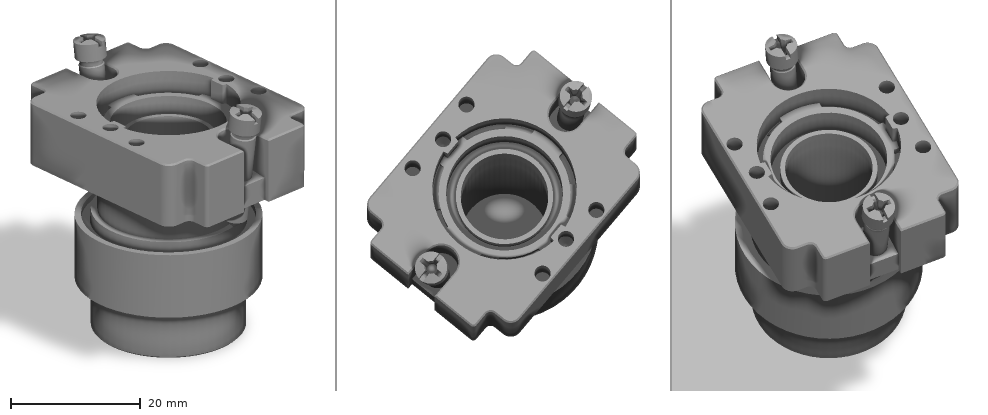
import cadquery as cq
import math


barrel_dia = 24.0
barrel_top = 20.0
barrel_edge_chamfer = 0.25
shoulder_dia = 22.0
shoulder_edge_chamfer = 0.2
neck_dia = 20.3
neck_bore_dia = 18.0
inner_tube_dia = 15.0
inner_bore_dia = 13.5
neck_top = 34.75
inner_tube_top = 32.4
groove_floor = 30.4
barrel_floor = 2.0
wide_lug_width = 6.75
narrow_lug_width = 5.55
taper_spans = [(0.0, 35.0), (90.0, 138.0), (180.0, 219.0), (270.0, 323.0)]

collar_dia = 29.0
collar_bore_dia = 24.25
collar_recess_dia = 27.0
collar_recess_depth = 1.0
collar_bottom = 8.0
collar_top = 19.0
collar_edge_chamfer = 0.25

housing_bottom = 27.3
housing_height = 10.7
housing_top = housing_bottom + housing_height
housing_length = 39.7
housing_width = 30.0
housing_offset_y = -0.2
middle_length = 32.0
ear_width = 21.0
middle_corner_radius = 1.8
inner_corner_radius = 1.0
ear_corner_radius = 0.6
housing_edge_chamfer = 0.25
bayonet_bore_dia = 22.25
bayonet_floor = 33.6
key_base_width = 2.9
key_tip_width = 2.55
key_inner_y = 10.3
dowel_dia = 2.5
dowel_spacing_x = 13.0
dowel_spacing_y = 26.0
dowel_depth = 5.0
drill_spacing = 24.6
drill_depth = 4.0
drill_point_angle = 118.0

screw_tilt = 7.5
tip_x = 14.79
tip_z = 22.05
shank_dia = 4.0
point_length = 1.9
shank_top = 17.0
shank_edge_chamfer = 0.15
screw_neck_dia = 3.65
screw_neck_length = 1.05
head_dia = 5.0
head_height = 2.83
dome_height = 0.35
head_bottom = shank_top + screw_neck_length
head_rim = head_bottom + head_height
drive_slot_width = 0.8
drive_slot_depth = 0.85
cross_depth = 2.3
cross_bottom_length = 1.5
cross_taper = 26.5
cross_core_dia = 1.6
cross_core_taper = 4.0

slot_width = 5.3
slot_centre_x = 15.05
bridge_outer_x = 18.9
bridge_outer_top = 31.1


def disc(diameter, bottom, top):
    return cq.Workplane("XY", origin=(0, 0, bottom)).circle(diameter / 2).extrude(top - bottom)


def block(x_range, y_range, z_range):
    size = [high - low for low, high in (x_range, y_range, z_range)]
    corner = (x_range[0], y_range[0], z_range[0])
    return cq.Workplane("XY").box(*size, centered=False).translate(corner)


def make_bayonet_lugs():
    reach = shoulder_dia
    half_wide = wide_lug_width / 2
    half_narrow = narrow_lug_width / 2
    heights = (bayonet_floor, neck_top)
    lugs = block((0, reach), (-half_wide, half_wide), heights)
    lugs = lugs.union(block((-half_wide, half_wide), (0, reach), heights))
    lugs = lugs.union(block((-reach, 0), (-half_narrow, half_narrow), heights))
    lugs = lugs.union(block((-half_narrow, half_narrow), (-reach, 0), heights))
    return lugs.intersect(disc(shoulder_dia, bayonet_floor, neck_top))


def make_taper_filler(start_angle, end_angle):
    """Sector of a cone that widens from the neck at its top to the lugs' reach at its foot."""
    sector = (
        cq.Workplane("XZ")
        .polyline(
            [
                (0, bayonet_floor),
                (shoulder_dia / 2, bayonet_floor),
                (neck_dia / 2, neck_top),
                (0, neck_top),
            ]
        )
        .close()
        .revolve(end_angle - start_angle, (0, 0, 0), (0, 1, 0))
    )
    return sector.rotate((0, 0, 0), (0, 0, 1), start_angle)


def make_barrel():
    body = disc(barrel_dia, 0, barrel_top).faces("<Z").edges().chamfer(barrel_edge_chamfer)
    shoulder = disc(shoulder_dia, barrel_top, housing_bottom)
    body = body.union(shoulder.faces(">Z").edges().chamfer(shoulder_edge_chamfer))
    body = body.union(disc(neck_dia, barrel_top, neck_top))
    body = body.union(make_bayonet_lugs())
    for start_angle, end_angle in taper_spans:
        body = body.union(make_taper_filler(start_angle, end_angle))
    body = body.cut(disc(neck_bore_dia, groove_floor, neck_top))
    body = body.union(disc(inner_tube_dia, groove_floor, inner_tube_top))
    return body.cut(disc(inner_bore_dia, barrel_floor, inner_tube_top))


def make_collar():
    ring = disc(collar_dia, collar_bottom, collar_top).faces("<Z").edges().chamfer(collar_edge_chamfer)
    ring = ring.cut(disc(collar_bore_dia, collar_bottom, collar_top))
    return ring.cut(disc(collar_recess_dia, collar_top - collar_recess_depth, collar_top))


def slot_cutter(side):
    reach = housing_length / 2
    half = slot_width / 2
    return (
        cq.Workplane("XY", origin=(0, housing_offset_y, housing_bottom))
        .moveTo(side * reach, -half)
        .lineTo(side * slot_centre_x, -half)
        .threePointArc((side * (slot_centre_x - half), 0), (side * slot_centre_x, half))
        .lineTo(side * reach, half)
        .close()
        .extrude(housing_height)
    )


def make_housing_blank():
    plane = cq.Workplane("XY", origin=(0, housing_offset_y, housing_bottom))
    ears = plane.rect(housing_length, ear_width).extrude(housing_height)
    ears = ears.edges("|Z").fillet(ear_corner_radius)
    middle = plane.rect(middle_length, housing_width).extrude(housing_height)
    middle = middle.edges("|Z").fillet(middle_corner_radius)
    blank = ears.union(middle)
    inner_corners = cq.selectors.BoxSelector(
        (-middle_length / 2 - 0.1, housing_offset_y - ear_width / 2 - 0.1, housing_bottom),
        (middle_length / 2 + 0.1, housing_offset_y + ear_width / 2 + 0.1, housing_top),
    )
    blank = blank.edges("|Z").edges(inner_corners).fillet(inner_corner_radius)
    for side in (-1, 1):
        blank = blank.cut(slot_cutter(side))
    return blank.faces(">Z").edges().chamfer(housing_edge_chamfer)


def make_bridge(side):
    rise = math.tan(math.radians(screw_tilt))
    inner_x = slot_centre_x - slot_width / 2
    inner_top = bridge_outer_top + rise * (bridge_outer_x - inner_x)
    wedge = (
        cq.Workplane("XZ", origin=(0, housing_offset_y, 0))
        .moveTo(side * bridge_outer_x, housing_bottom)
        .lineTo(side * bridge_outer_x, bridge_outer_top)
        .lineTo(side * inner_x, inner_top)
        .lineTo(side * inner_x, housing_bottom)
        .close()
        .extrude(slot_width / 2, both=True)
    )
    return wedge.intersect(slot_cutter(side))


def make_keys():
    """Two ribs tapering inwards from the bayonet bore, resting on the barrel's lugs."""
    half_base = key_base_width / 2
    half_tip = key_tip_width / 2
    outer = bayonet_bore_dia / 2
    key = (
        cq.Workplane("XY", origin=(0, 0, neck_top))
        .polyline([(-half_base, outer), (-half_tip, key_inner_y), (half_tip, key_inner_y), (half_base, outer)])
        .close()
        .extrude(housing_top - neck_top)
    )
    return key.union(key.mirror("XZ"))


def make_housing(screws):
    body = make_housing_blank()
    body = body.cut(disc(bayonet_bore_dia, bayonet_floor, housing_top))
    body = body.cut(disc(neck_dia, housing_bottom, bayonet_floor))
    body = body.union(make_keys())
    top = cq.Workplane("XY", origin=(0, 0, housing_top))
    dowels = top.rect(dowel_spacing_x, dowel_spacing_y, forConstruction=True).vertices()
    body = body.cut(dowels.circle(dowel_dia / 2).extrude(-dowel_depth))
    point = dowel_dia / 2 / math.tan(math.radians(drill_point_angle / 2))
    drill = (
        cq.Workplane("XZ")
        .polyline([(0, 0), (dowel_dia / 2, 0), (dowel_dia / 2, -drill_depth), (0, -drill_depth - point)])
        .close()
        .revolve(360, (0, 0, 0), (0, 1, 0))
    )
    for side in (-1, 1):
        body = body.cut(drill.translate((0, side * drill_spacing / 2, housing_top)))
        body = body.union(make_bridge(side))
    for screw in screws:
        body = body.cut(screw)
    return body


def make_cross_arm(along):
    """One arm of the cross recess: constant width, ends tapering inwards with depth."""
    bottom = head_rim - cross_depth
    depth = cross_depth + dome_height
    half_bottom = cross_bottom_length / 2
    half_top = half_bottom + depth * math.tan(math.radians(cross_taper))
    outline = [
        (-half_bottom, bottom),
        (half_bottom, bottom),
        (half_top, bottom + depth),
        (-half_top, bottom + depth),
    ]
    return cq.Workplane(along).polyline(outline).close().extrude(drive_slot_width / 2, both=True)


def make_screw(side):
    shank_r = shank_dia / 2
    head_r = head_dia / 2
    neck_r = screw_neck_dia / 2
    dome_radius = (head_r**2 + dome_height**2) / (2 * dome_height)
    dome_top = head_rim + dome_height
    dome_mid_x = head_r / 2
    dome_mid_z = dome_top - dome_radius + math.sqrt(dome_radius**2 - dome_mid_x**2)
    screw = (
        cq.Workplane("XZ")
        .moveTo(0, 0)
        .lineTo(shank_r, point_length)
        .lineTo(shank_r, shank_top - shank_edge_chamfer)
        .lineTo(shank_r - shank_edge_chamfer, shank_top)
        .lineTo(neck_r, shank_top)
        .lineTo(neck_r, head_bottom)
        .lineTo(head_r, head_bottom)
        .lineTo(head_r, head_rim)
        .threePointArc((dome_mid_x, dome_mid_z), (0, dome_top))
        .close()
        .revolve(360, (0, 0, 0), (0, 1, 0))
    )
    slot_floor = head_rim - drive_slot_depth
    half_slot = drive_slot_width / 2
    screw = screw.cut(block((-head_r, head_r), (-half_slot, half_slot), (slot_floor, dome_top)))
    screw = screw.cut(make_cross_arm("XZ")).cut(make_cross_arm("YZ"))
    core = (
        cq.Workplane("XY", origin=(0, 0, head_rim - cross_depth))
        .circle(cross_core_dia / 2)
        .extrude(cross_depth + dome_height, taper=-cross_core_taper)
    )
    screw = screw.cut(core)
    screw = screw.rotate((0, 0, 0), (0, 1, 0), side * screw_tilt)
    return screw.translate((side * tip_x, housing_offset_y, tip_z))


screws = [make_screw(side) for side in (-1, 1)]
barrel = make_barrel()
collar = make_collar()
housing = make_housing(screws)

result = cq.Compound.makeCompound(
    [housing.val(), barrel.val(), collar.val(), *[screw.val() for screw in screws]]
)